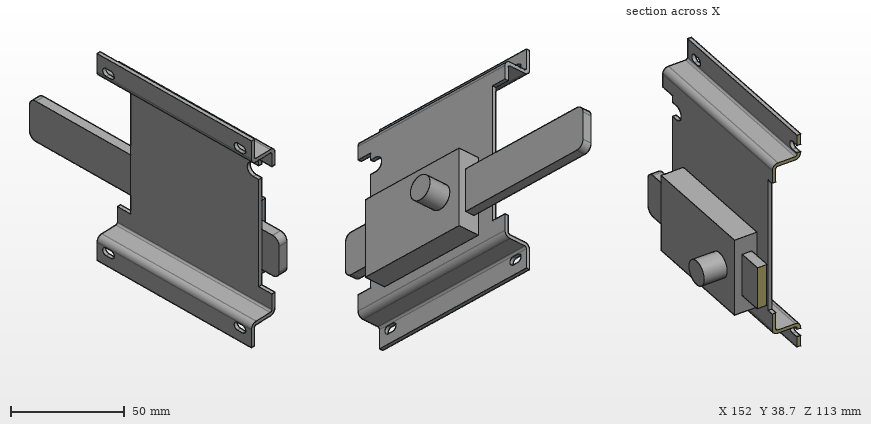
import cadquery as cq


plate_width = 94.0
plate_height = 113.0
plate_depth = 15.0
sheet = 2.0
bend_inner_radius = 1.0
bend_outer_radius = bend_inner_radius + sheet
flange_height = 13.0

cutout_depth = 8.0
cutout_bottom = 22.5
cutout_top_margin = 21.0
cutout_top = plate_height - cutout_top_margin

notch_height = 7.4
notch_depth = 7.0
notch_z = 84.7

slot_length = 7.0
slot_height = 4.2
slot_spacing_x = 80.0
slot_edge_distance = 7.5

lock_z = 39.0
housing_left = 17.0
housing_width = 60.0
housing_height = 40.0
housing_depth = 11.7

bolt_length = 152.0
bolt_height = 22.0
bolt_thickness = 5.0
bolt_gap = 2.7
bolt_corner_radius = 4.0

spindle_diameter = 12.5
spindle_length = 12.0
spindle_x = 29.2


def box(x, y, z, width, depth, height):
    """Box placed by its lowest X, Y and Z corner."""
    return cq.Workplane("XY").box(width, depth, height, centered=False).translate((x, y, z))


def make_cylinder(x, y, z, radius, length):
    """Cylinder along +Y starting at the given point."""
    start = cq.Vector(x, y, z)
    return cq.Workplane(cq.Solid.makeCylinder(radius, length, start, cq.Vector(0, 1, 0)))


def make_bent_sheet():
    """Hat-shaped sheet: raised plate, two webs and two outward flanges."""
    upper_web_bottom = plate_height - flange_height
    web_top = flange_height
    web_bottom = flange_height - sheet
    body = box(0, plate_depth - sheet, web_bottom, plate_width, sheet, plate_height - 2 * web_bottom)
    for flange_z, web_z in ((0, web_bottom), (upper_web_bottom, upper_web_bottom)):
        body = body.union(box(0, 0, flange_z, plate_width, sheet, flange_height))
        body = body.union(box(0, 0, web_z, plate_width, plate_depth, sheet))

    middle = plate_height / 2
    inner_offset = middle - web_top
    outer_offset = middle - web_bottom

    reach = 0.1

    def round_bends(shape, y, offset, radius):
        """Fillet the lower and upper bend edges at one Y and distance from mid-height."""
        for side in (-1, 1):
            z = middle + side * offset
            corner = cq.selectors.BoxSelector(
                (-reach, y - reach, z - reach),
                (plate_width + reach, y + reach, z + reach),
            )
            shape = shape.edges(corner).edges("|X").fillet(radius)
        return shape

    body = round_bends(body, plate_depth, outer_offset, bend_outer_radius)
    body = round_bends(body, plate_depth - sheet, inner_offset, bend_inner_radius)
    body = round_bends(body, 0, inner_offset, bend_outer_radius)
    return round_bends(body, sheet, outer_offset, bend_inner_radius)


def cut_side_openings(body):
    """Narrow the plate between the flanges and notch its right edge."""
    height = cutout_top - cutout_bottom
    narrow_right = plate_width - cutout_depth
    for x in (0, narrow_right):
        body = body.cut(box(x, 0, cutout_bottom, cutout_depth, plate_depth, height))

    radius = notch_height / 2
    centre_x = narrow_right - notch_depth + radius
    notch = box(centre_x, 0, notch_z - radius, notch_depth, plate_depth, notch_height)
    notch = notch.union(make_cylinder(centre_x, 0, notch_z, radius, plate_depth))
    return body.cut(notch)


def cut_mounting_slots(body):
    """Two horizontal slots through each flange."""
    centre_x = plate_width / 2
    slots = (
        cq.Workplane("XZ", origin=(centre_x, sheet, plate_height / 2))
        .rarray(slot_spacing_x, plate_height - 2 * slot_edge_distance, 2, 2)
        .slot2D(slot_length, slot_height)
        .extrude(sheet)
    )
    return body.cut(slots)


def make_lock():
    """Housing on the back of the plate with a sliding bolt and a round spindle."""
    housing = box(
        housing_left, plate_depth, lock_z - housing_height / 2,
        housing_width, housing_depth, housing_height,
    )
    bolt = box(
        plate_width - bolt_length, plate_depth + bolt_gap, lock_z - bolt_height / 2,
        bolt_length, bolt_thickness, bolt_height,
    ).edges("|Y").fillet(bolt_corner_radius)
    spindle = make_cylinder(
        spindle_x, plate_depth + housing_depth, lock_z, spindle_diameter / 2, spindle_length
    )
    return housing.union(bolt).union(spindle)


plate = cut_mounting_slots(cut_side_openings(make_bent_sheet()))
result = plate.union(make_lock())